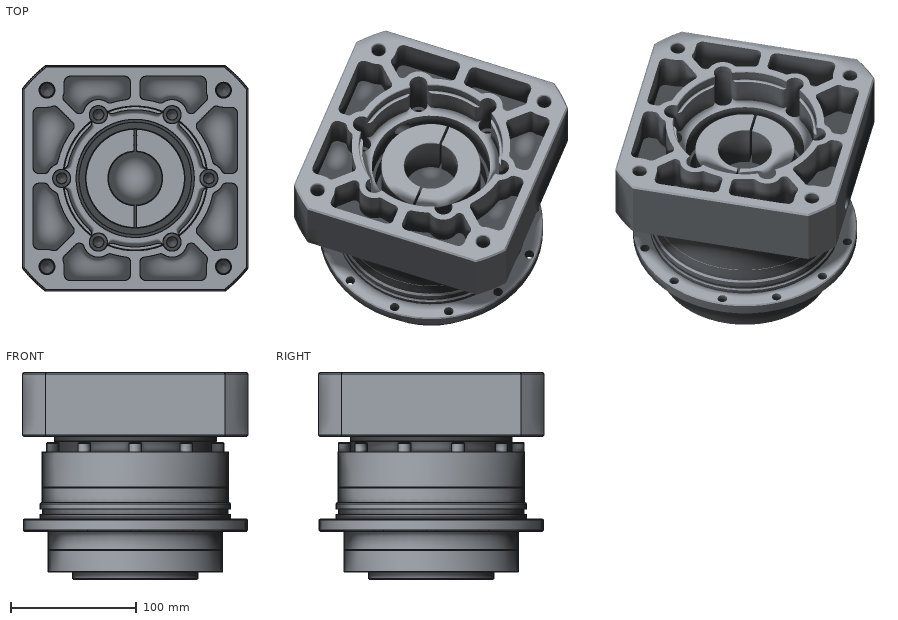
import cadquery as cq
import math

total_height = 165.0
joint_z = 109.8
ledge_depth = 30.0
ledge_z = total_height - ledge_depth

plate_width = 180.0
plate_height = 51.1
plate_corner_radius = 115.0
plate_chamfer = 1.3
plate_bottom_z = total_height - plate_height
neck_radius = 64.6
neck_chamfer = 0.5
housing_neck_radius = 64.3

pilot_radius = 57.2
pilot_depth = 9.0
pilot_chamfer = 0.5
bore_radius = 54.7
bore_corner_fillet = 5.0
shoulder_radius = 47.2

screw_count = 6
screw_circle_radius = 58.7
screw_recess_radius = 7.2
screw_hole_radius = 4.3
screw_recess_depth = 15.0
screw_hole_depth = 25.0
screw_boss_radius = 12.0
screw_seat_z = ledge_z - screw_recess_depth

motor_hole_offset = 70.4
motor_hole_radius = 5.5
motor_hole_depth = ledge_depth
motor_hole_chamfer = 0.7
motor_boss_radius = 13.7
drill_tip_angle = 118.0

pocket_outer_offset = 81.5
pocket_corner_fillet = 5.0
pocket_fillet = 4.0
inner_wall_radius = 63.2
web_thickness = 7.5

clamp_y = 30.6
clamp_z = 125.1
access_radius = 5.5
access_chamfer = 0.9
clamp_head_radius = 5.8
clamp_hole_radius = 3.8
clamp_seat_x = -10.8

hub_radius = 39.6
hub_bore_radius = 21.5
hub_bore_depth = 36.0
hub_base_thickness = 9.0
hub_chamfer = 0.4
slot_width = 2.2
hub_bottom_z = ledge_z - hub_bore_depth - hub_base_thickness

hub_pocket_radius = 44.8
output_radius = 50.0
output_height = 5.8
output_chamfer = 0.9
lower_radius = 69.7
lower_chamfer = 0.5
lower_seam_z = 23.4
flange_radius = 89.5
flange_bottom_z = 38.3
flange_top_z = 48.2
flange_chamfer = 0.9
ring_radius = 76.0
ring_groove_radius = 74.0
ring_groove_bottom_z = 51.7
ring_groove_top_z = 56.0
ring_top_z = 61.4
ring_chamfer = 1.0
body_radius = 74.3
body_seam_z = 73.3
body_top_z = 101.5
seam_width = 0.7
seam_depth = 0.4

flange_hole_count = 12
flange_hole_circle_radius = 83.7
flange_hole_radius = 3.8

bolt_count = 10
bolt_circle_radius = 69.1
bolt_head_radius = 5.0
bolt_head_height = 7.5
bolt_head_chamfer = 0.7


def disc(radius, bottom, top):
    return cq.Workplane("XY").workplane(offset=bottom).circle(radius).extrude(top - bottom)


def block(x_size, y_size, bottom, top):
    height = top - bottom
    return cq.Workplane("XY").box(x_size, y_size, height, centered=(True, True, False)).translate((0, 0, bottom))


def cylinders(points, radius, bottom, top):
    return cq.Workplane("XY").workplane(offset=bottom).pushPoints(points).circle(radius).extrude(top - bottom)


def circle_points(count, radius, start_angle=0.0):
    angles = [math.radians(start_angle + 360.0 * i / count) for i in range(count)]
    return [(radius * math.cos(a), radius * math.sin(a)) for a in angles]


def drilled_hole(point, radius, top, depth):
    """Blind hole with a conical drill tip below its full-diameter depth."""
    tip = radius / math.tan(math.radians(drill_tip_angle / 2))
    profile = [(0, top), (radius, top), (radius, top - depth), (0, top - depth - tip)]
    hole = cq.Workplane("XZ").polyline(profile).close().revolve(360, (0, 0, 0), (0, 1, 0))
    return hole.translate((point[0], point[1], 0))


def cone_frustum(radius, chamfer):
    """Cutter for a 45 degree chamfer on the rim of a hole that opens upward at Z = 0."""
    rim = cq.Workplane("XY").circle(radius + chamfer)
    return rim.workplane(offset=-chamfer).circle(radius).loft(ruled=True)


def x_cylinder(radius, start_x, end_x):
    """Cylinder along X on the axis of the clamping screw."""
    plane = cq.Workplane("YZ", origin=(start_x, clamp_y, clamp_z))
    return plane.circle(radius).extrude(end_x - start_x)


screw_points = circle_points(screw_count, screw_circle_radius)
motor_points = [(sx * motor_hole_offset, sy * motor_hole_offset) for sx in (-1, 1) for sy in (-1, 1)]


def make_plate():
    plate = block(plate_width, plate_width, plate_bottom_z, total_height)
    plate = plate.intersect(disc(plate_corner_radius, plate_bottom_z, total_height))
    plate = plate.faces("<Z or >Z").chamfer(plate_chamfer)
    neck = disc(neck_radius, joint_z, plate_bottom_z + plate_chamfer).faces("<Z").chamfer(neck_chamfer)
    return plate.union(neck)


def is_on_outer_wall(edge):
    center = edge.Center()
    return max(abs(center.x), abs(center.y)) > pocket_outer_offset - web_thickness / 2


def make_pockets():
    """Eight lightening pockets left between the outer wall, the webs, the bosses and the inner wall."""
    low = ledge_z
    high = total_height
    pockets = block(2 * pocket_outer_offset, 2 * pocket_outer_offset, low, high)
    pockets = pockets.cut(disc(inner_wall_radius, low, high))
    pockets = pockets.cut(cylinders(screw_points, screw_boss_radius, low, high))
    pockets = pockets.cut(cylinders(motor_points, motor_boss_radius, low, high))
    for x, y in motor_points:
        pad = block(2 * motor_boss_radius, 2 * motor_boss_radius, low, high)
        pockets = pockets.cut(pad.translate((x, y + math.copysign(motor_boss_radius, y), 0)))
        pockets = pockets.cut(pad.translate((x + math.copysign(motor_boss_radius, x), y, 0)))
    for angle in range(0, 180, 45):
        web = block(2 * plate_width, web_thickness, low, high).rotate((0, 0, 0), (0, 0, 1), angle)
        pockets = pockets.cut(web)
    pockets = pockets.edges("|Z").filter(is_on_outer_wall).fillet(pocket_corner_fillet)
    rounded = cq.Workplane("XY")
    for outline in pockets.faces("<Z").wires().vals():
        for distance in (-pocket_fillet, 2 * pocket_fillet, -pocket_fillet):
            outline = outline.offset2D(distance)[0]
        rounded = rounded.add(cq.Solid.extrudeLinear(outline, [], cq.Vector(0, 0, ledge_depth)))
    return rounded.combine()


def make_central_opening():
    lower = disc(bore_radius, ledge_z, total_height - pilot_depth)
    lower = lower.union(cylinders(screw_points, screw_recess_radius, ledge_z, total_height - pilot_depth))
    lower = lower.edges("|Z").fillet(bore_corner_fillet)
    pilot = disc(pilot_radius, total_height - pilot_depth, total_height)
    mouth = cone_frustum(pilot_radius, pilot_chamfer).translate((0, 0, total_height))
    recesses = cylinders(screw_points, screw_recess_radius, screw_seat_z, total_height)
    shoulder = disc(shoulder_radius, joint_z, ledge_z)
    return lower.union(pilot).union(mouth).union(recesses).union(shoulder)


def cut_screw_holes(body):
    for point in screw_points:
        body = body.cut(drilled_hole(point, screw_hole_radius, screw_seat_z, screw_hole_depth))
    return body


def motor_hole_countersink(point):
    return cone_frustum(motor_hole_radius, motor_hole_chamfer).translate((point[0], point[1], total_height))


def make_access_hole():
    hole = x_cylinder(access_radius, -plate_width / 2, 0)
    rim = cone_frustum(access_radius, access_chamfer).rotate((0, 0, 0), (0, 1, 0), -90)
    return hole.union(rim.translate((-plate_width / 2, clamp_y, clamp_z)))


def make_adapter():
    adapter = make_plate().cut(make_pockets()).cut(make_central_opening())
    adapter = cut_screw_holes(adapter)
    for point in motor_points:
        adapter = adapter.cut(drilled_hole(point, motor_hole_radius, total_height, motor_hole_depth))
        adapter = adapter.cut(motor_hole_countersink(point))
    return adapter.cut(make_access_hole())


def make_hub():
    hub = disc(hub_radius, hub_bottom_z, ledge_z)
    hub = hub.cut(disc(hub_bore_radius, ledge_z - hub_bore_depth, ledge_z))
    hub = hub.faces(">Z").chamfer(hub_chamfer)
    hub = hub.cut(block(slot_width, 2 * hub_radius, ledge_z - hub_bore_depth, ledge_z))
    hub = hub.cut(x_cylinder(clamp_hole_radius, -hub_radius, hub_radius))
    return hub.cut(x_cylinder(clamp_head_radius, -hub_radius, clamp_seat_x))


def make_housing():
    housing = disc(output_radius, 0, output_height).faces("<Z").chamfer(output_chamfer)
    lower = disc(lower_radius, output_height, flange_bottom_z).faces("<Z").chamfer(lower_chamfer)
    flange = disc(flange_radius, flange_bottom_z, flange_top_z).faces("<Z or >Z").chamfer(flange_chamfer)
    ring_base = disc(ring_radius, flange_top_z, ring_groove_bottom_z)
    ring_groove = disc(ring_groove_radius, ring_groove_bottom_z, ring_groove_top_z)
    ring_top = disc(ring_radius, ring_groove_top_z, ring_top_z).faces(">Z").chamfer(ring_chamfer)
    body = disc(body_radius, ring_top_z, body_top_z)
    neck = disc(housing_neck_radius, body_top_z, joint_z)
    for section in (lower, flange, ring_base, ring_groove, ring_top, body, neck):
        housing = housing.union(section)
    for seam_z, radius in ((lower_seam_z, lower_radius), (body_seam_z, body_radius)):
        outer = disc(radius + seam_depth, seam_z - seam_width / 2, seam_z + seam_width / 2)
        housing = housing.cut(outer.cut(disc(radius - seam_depth, 0, joint_z)))
    head_points = circle_points(bolt_count, bolt_circle_radius, 90)
    heads = cylinders(head_points, bolt_head_radius, body_top_z, body_top_z + bolt_head_height)
    housing = housing.union(heads.faces(">Z").chamfer(bolt_head_chamfer))
    hole_points = circle_points(flange_hole_count, flange_hole_circle_radius)
    housing = housing.cut(cylinders(hole_points, flange_hole_radius, flange_bottom_z, flange_top_z))
    return cut_screw_holes(housing.cut(disc(hub_pocket_radius, hub_bottom_z, joint_z)))


adapter = make_adapter()
hub = make_hub()
housing = make_housing()
result = cq.Compound.makeCompound([adapter.val(), hub.val(), housing.val()])